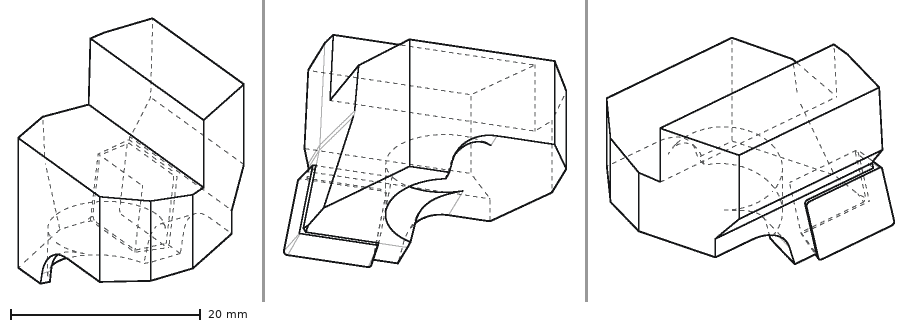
import cadquery as cq
import math


def tan(degrees):
    return math.tan(math.radians(degrees))


def cos(degrees):
    return math.cos(math.radians(degrees))


def sin(degrees):
    return math.sin(math.radians(degrees))


length = 27.05
depth = 20.08
height = 24.0

end_angle = 30.0
back_right_x = 21.19
front_right_x = 24.37
front_left_x = 8.4
front_left_angle = 35.0
front_cut_y = (length - front_right_x) / tan(end_angle)
back_cut_y = depth - (length - back_right_x) / tan(end_angle)

rail_width = 8.0
rail_height = 8.0
rail_front_y = depth - rail_width
shelf_angle = 7.8
shelf_back_z = height - rail_height
shelf_front_z = shelf_back_z + rail_front_y * tan(shelf_angle)
front_bottom_z = 2.25
bottom_angle = 6.0
seat_y = 14.08
seat_bottom_z = front_bottom_z - seat_y * tan(bottom_angle)
back_relief_y = 17.68
back_relief_angle = 30.0
back_relief_top_z = 14.46
back_relief_bottom_z = back_relief_top_z - (depth - back_relief_y) / tan(back_relief_angle)

arm_bottom_z = 7.53
arm_radius = 5.0
arm_radius_x = 17.98
leg_angle = 13.0

flank_top_x = 3.3
flank_upper_angle = 2.5
flank_lower_angle = 10.0
flank_bend_z = 11.3
flank_bend_radius = 5.0
flank_side_angle = 10.0

nose_cut_height = 0.45
nose_cut_width = 0.35
nose_cut_depth = 1.2

clearance_radius = 6.2
clearance_x = 14.4
clearance_y = 7.2

insert_circle = 9.525
insert_thickness = 3.97
insert_angle = 80.0
insert_clearance = 7.0
rake_nose_radius = 0.4
seat_nose_radius = 0.05


def holder_plan():
    left_run = depth * tan(front_left_angle)
    return (
        cq.Workplane("XY")
        .moveTo(front_left_x, 0)
        .lineTo(front_right_x, 0)
        .lineTo(length, front_cut_y)
        .lineTo(length, back_cut_y)
        .lineTo(back_right_x, depth)
        .lineTo(front_left_x - left_run, depth)
        .close()
        .extrude(height)
    )


def holder_side():
    return (
        cq.Workplane("YZ")
        .moveTo(0, front_bottom_z)
        .lineTo(seat_y, seat_bottom_z)
        .lineTo(back_relief_y, seat_bottom_z)
        .lineTo(back_relief_y, back_relief_bottom_z)
        .lineTo(depth, back_relief_top_z)
        .lineTo(depth, height)
        .lineTo(rail_front_y, height)
        .lineTo(rail_front_y, shelf_back_z)
        .lineTo(0, shelf_front_z)
        .close()
        .extrude(length)
    )


def under_arm_space():
    center_z = arm_bottom_z - arm_radius
    mid_angle = (90 + leg_angle) / 2
    leg_top_x = arm_radius_x - arm_radius * cos(leg_angle)
    leg_top_z = center_z + arm_radius * sin(leg_angle)
    arc_mid = (arm_radius_x - arm_radius * cos(mid_angle), center_z + arm_radius * sin(mid_angle))
    return (
        cq.Workplane("XZ")
        .moveTo(length, 0)
        .lineTo(length, arm_bottom_z)
        .lineTo(arm_radius_x, arm_bottom_z)
        .threePointArc(arc_mid, (leg_top_x, leg_top_z))
        .lineTo(leg_top_x - leg_top_z * tan(leg_angle), 0)
        .close()
        .extrude(-depth)
    )


def flank_bend_x():
    return flank_top_x - (height - flank_bend_z) * tan(flank_upper_angle)


def flank_x(z):
    """Lower flank position at the seat plane."""
    return flank_bend_x() - (flank_bend_z - z) * tan(flank_lower_angle)


def flank_space(run_x, run_y):
    """Space left of the flank, swept from the seat plane along (run_x, run_y)."""
    outer_x = -length
    tangent = flank_bend_radius * tan((flank_lower_angle - flank_upper_angle) / 2)
    upper_end = (
        flank_bend_x() + tangent * sin(flank_upper_angle),
        flank_bend_z + tangent * cos(flank_upper_angle),
    )
    lower_end = (
        flank_bend_x() - tangent * sin(flank_lower_angle),
        flank_bend_z - tangent * cos(flank_lower_angle),
    )
    profile = (
        cq.Workplane("XZ", origin=(0, seat_y, 0))
        .moveTo(outer_x, height)
        .lineTo(flank_top_x, height)
        .lineTo(*upper_end)
        .tangentArcPoint(lower_end, relative=False)
        .lineTo(flank_x(0), 0)
        .lineTo(outer_x, 0)
        .close()
    )
    return cq.Workplane(cq.Solid.extrudeLinear(profile.val(), [], cq.Vector(run_x, run_y, 0)))


def nose_cut():
    """Tetrahedron that takes off the bottom left corner at the seat plane."""
    corner = cq.Vector(flank_x(seat_bottom_z), seat_y, seat_bottom_z)
    up_flank = corner + cq.Vector(nose_cut_height * tan(flank_lower_angle), 0, nose_cut_height)
    along_bottom = corner + cq.Vector(nose_cut_width, 0, 0)
    edge_rise = nose_cut_depth * tan(bottom_angle)
    edge_run = nose_cut_depth * tan(flank_side_angle) + edge_rise * tan(flank_lower_angle)
    along_edge = corner + cq.Vector(edge_run, -nose_cut_depth, edge_rise)
    points = [corner, up_flank, along_bottom, along_edge]
    faces = []
    for skipped in range(len(points)):
        triangle = points[:skipped] + points[skipped + 1:]
        faces.append(cq.Face.makeFromWires(cq.Wire.makePolygon(triangle, close=True)))
    return cq.Workplane(cq.Solid.makeSolid(cq.Shell.makeShell(faces)))


def screw_clearance():
    return (
        cq.Workplane("XY")
        .center(clearance_x, clearance_y)
        .circle(clearance_radius)
        .extrude(arm_bottom_z)
    )


def insert_outline(y, inset, nose_radius):
    """Rounded rhombus at the given Y, its sides moved in by inset."""
    edge = insert_circle / sin(insert_angle)
    corner_x = rake_nose_radius * (1 - 1 / tan(insert_angle / 2))
    center_x = corner_x + edge * (1 + cos(insert_angle)) / 2
    core_height = insert_circle - 2 * (inset + nose_radius)
    core_edge = core_height / sin(insert_angle)
    lean = core_height / tan(insert_angle)
    left_x = -(core_edge + lean) / 2
    bottom_z = -core_height / 2
    return (
        cq.Workplane("XZ", origin=(center_x, y, insert_circle / 2))
        .moveTo(left_x, bottom_z)
        .lineTo(left_x + core_edge, bottom_z)
        .lineTo(left_x + core_edge + lean, -bottom_z)
        .lineTo(left_x + lean, -bottom_z)
        .close()
        .offset2D(nose_radius)
        .val()
    )


def make_insert():
    seat_outline = insert_outline(seat_y, insert_thickness * tan(insert_clearance), seat_nose_radius)
    rake_outline = insert_outline(seat_y + insert_thickness, 0, rake_nose_radius)
    return cq.Workplane(cq.Solid.makeLoft([seat_outline, rake_outline], True))


def make_holder(insert):
    back_run = depth - seat_y
    return (
        holder_plan()
        .intersect(holder_side())
        .cut(under_arm_space())
        .cut(flank_space(0, back_run))
        .cut(flank_space(seat_y * tan(flank_side_angle), -seat_y))
        .cut(nose_cut())
        .cut(screw_clearance())
        .cut(insert)
    )


cutting_insert = make_insert()
holder = make_holder(cutting_insert)
result = cq.Compound.makeCompound([holder.solids().val(), cutting_insert.val()])